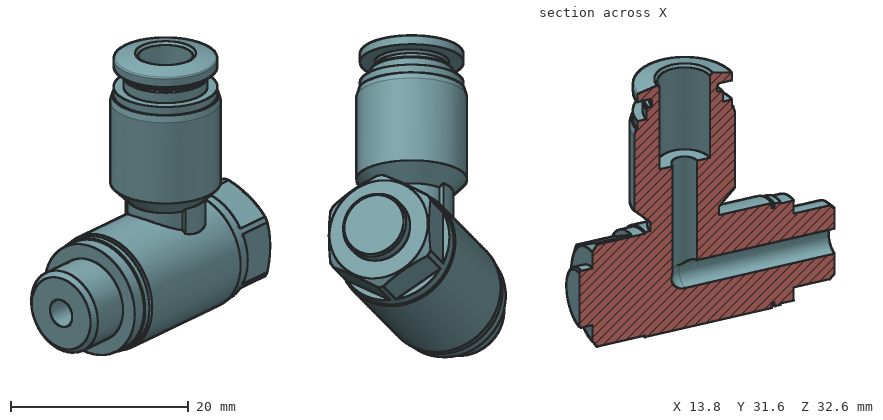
import cadquery as cq


overall_height = 32.6

body_diameter = 13.8
collar_diameter = 13.4
hex_across_flats = 11.93
hex_face_diameter = 11.7
plug_diameter = 7.5
groove_diameter = 12.5
seal_diameter = 13.5
flange_diameter = 13.15
stud_diameter = 9.7

stud_end = -18.52
flange_front = -13.45
seal_front = -11.85
groove_front = -11.1
body_front = -10.75
body_back = 4.92
hex_front = 6.42
hex_back = 11.4
plug_end = 13.05
stud_chamfer = 0.6
hex_chamfer_length = 0.6
plug_chamfer = 0.23

neck_diameter = 8.55
socket_diameter = 12.5
shoulder_diameter = 12.03
cap_diameter = 11.7
guide_diameter = 9.5
sleeve_diameter = 8.1
sleeve_top_diameter = 8.4
bore_diameter = 6.2
bore_mouth_diameter = 6.85

neck_top = 7.95
socket_bottom = 9.98
socket_top = 19.85
shoulder_top = 20.65
cap_top = 21.6
guide_top = 23.08
sleeve_taper_start = 23.67
disc_bottom = 24.05
disc_rim_top = 25.17
socket_end = overall_height - body_diameter / 2
guide_chamfer = 0.2
disc_rim_fillet = 0.2
bore_bottom = 14.67

rib_width = 3.52
rib_diameter = 9.42

socket_passage_diameter = 3.0
stud_passage_diameter = 3.23


def revolve_y(profile):
    """Revolve (diameter, y) points around the Y axis."""
    points = [(diameter / 2, y) for diameter, y in profile]
    return cq.Workplane("XY").polyline(points).close().revolve(360, (0, 0), (0, 1))


def revolve_z(profile):
    """Revolve (diameter, z) points around the Z axis."""
    points = [(diameter / 2, z) for diameter, z in profile]
    return cq.Workplane("XZ").polyline(points).close().revolve(360, (0, 0), (0, 1))


def make_body():
    return revolve_y([
        (0, stud_end),
        (stud_diameter - 2 * stud_chamfer, stud_end),
        (stud_diameter, stud_end + stud_chamfer),
        (stud_diameter, flange_front),
        (flange_diameter, flange_front),
        (flange_diameter, seal_front),
        (seal_diameter, seal_front),
        (seal_diameter, groove_front),
        (groove_diameter, groove_front),
        (groove_diameter, body_front),
        (body_diameter, body_front),
        (body_diameter, body_back),
        (collar_diameter, body_back),
        (collar_diameter, hex_front),
        (plug_diameter, hex_front),
        (plug_diameter, plug_end - plug_chamfer),
        (plug_diameter - 2 * plug_chamfer, plug_end),
        (0, plug_end),
    ])


def make_hex():
    """Hexagon with flats facing +X and -X, its corners turned down to the collar diameter."""
    turned_blank = revolve_y([
        (0, hex_front),
        (collar_diameter, hex_front),
        (collar_diameter, hex_back - hex_chamfer_length),
        (hex_face_diameter, hex_back),
        (0, hex_back),
    ])
    hexagon = turned_blank
    for angle in (0, 60, 120):
        flat_pair = (
            cq.Workplane("XY")
            .box(hex_across_flats, 2 * plug_end, 2 * collar_diameter)
            .rotate((0, 0, 0), (0, 1, 0), angle)
        )
        hexagon = hexagon.intersect(flat_pair)
    return hexagon


def make_socket():
    socket = revolve_z([
        (0, 0),
        (neck_diameter, 0),
        (neck_diameter, neck_top),
        (socket_diameter, socket_bottom),
        (socket_diameter, socket_top),
        (shoulder_diameter, shoulder_top),
        (cap_diameter, shoulder_top),
        (cap_diameter, cap_top),
        (guide_diameter, cap_top),
        (guide_diameter, guide_top - guide_chamfer),
        (guide_diameter - 2 * guide_chamfer, guide_top),
        (sleeve_diameter, guide_top),
        (sleeve_diameter, sleeve_taper_start),
        (sleeve_top_diameter, disc_bottom),
        (cap_diameter, disc_bottom),
        (cap_diameter, disc_rim_top),
        (bore_mouth_diameter, socket_end),
        (0, socket_end),
    ])
    disc_rim = cq.NearestToPointSelector((0, 0, disc_rim_top))
    return socket.edges(disc_rim).fillet(disc_rim_fillet)


def make_ribs():
    """Two opposite ribs with round outer faces, running from the body up into the socket cone."""
    rib_cylinder = cq.Workplane("XY").circle(rib_diameter / 2).extrude(socket_bottom)
    rib_slab = cq.Workplane("XY").rect(rib_diameter, rib_width).extrude(socket_bottom)
    return rib_cylinder.intersect(rib_slab)


def make_tube_bore():
    mouth_depth = (bore_mouth_diameter - bore_diameter) / 2
    return revolve_z([
        (0, bore_bottom),
        (bore_diameter, bore_bottom),
        (bore_diameter, socket_end - mouth_depth),
        (bore_mouth_diameter, socket_end),
        (0, socket_end),
    ])


def make_passage():
    """Elbow passage: a ball-ended horizontal hole met by a narrower vertical hole."""
    vertical = cq.Workplane("XY").circle(socket_passage_diameter / 2).extrude(bore_bottom)
    horizontal = cq.Workplane("XZ").circle(stud_passage_diameter / 2).extrude(-stud_end)
    ball_end = cq.Workplane("XY").sphere(stud_passage_diameter / 2)
    return horizontal.union(ball_end).union(vertical)


solid_fitting = make_body().union(make_hex()).union(make_socket()).union(make_ribs())
result = solid_fitting.cut(make_tube_bore()).cut(make_passage())